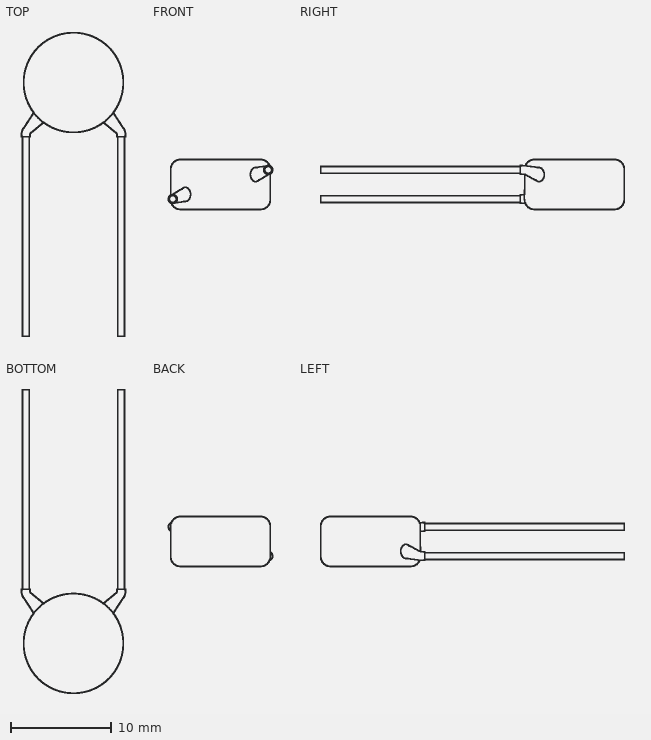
import cadquery as cq
import math

disc_diameter = 10.0
disc_height = 5.0
disc_edge_radius = 1.0
overall_length = 30.37

lead_diameter = 0.7
lead_offset_x = 4.77
lead_offset_z = 1.45

sleeve_tip_diameter = 0.88
sleeve_root_radius = 0.75
sleeve_root_inset = 0.45
sleeve_root_angle = 45.0
sleeve_root_z = 0.9
sleeve_corner_y = -4.95
bend_radius = 0.6
collar_end_y = -5.4

side_turns = [0, 180]

disc_radius = disc_diameter / 2
sleeve_tip_radius = sleeve_tip_diameter / 2
lead_end_y = disc_radius - overall_length
lead_direction = cq.Vector(0, -1, 0)
root_distance = disc_radius - sleeve_root_inset
root_angle = math.radians(sleeve_root_angle)
sleeve_root = cq.Vector(
    root_distance * math.sin(root_angle),
    -root_distance * math.cos(root_angle),
    sleeve_root_z,
)
sleeve_corner = cq.Vector(lead_offset_x, sleeve_corner_y, lead_offset_z)
cone_direction = (sleeve_corner - sleeve_root).normalized()
bend_angle = cone_direction.getAngle(lead_direction)
bend_setback = bend_radius * math.tan(bend_angle / 2)
bend_start = sleeve_corner - cone_direction * bend_setback
bend_end = sleeve_corner + lead_direction * bend_setback


def place(shape, turn):
    """Copy of a +X, +Z shape turned about Y by an angle in degrees."""
    return shape.rotate((0, 0, 0), (0, 1, 0), turn)


def make_disc():
    """Round coated disc with both rims rounded."""
    return (
        cq.Workplane("XY")
        .workplane(offset=-disc_height / 2)
        .circle(disc_radius)
        .extrude(disc_height)
        .faces("|Z")
        .edges()
        .fillet(disc_edge_radius)
    )


def make_sleeve_cone():
    """Taper that leaves the disc wall and narrows to the bend."""
    cone_length = (bend_start - sleeve_root).Length
    cone = cq.Solid.makeCone(
        sleeve_root_radius, sleeve_tip_radius, cone_length, sleeve_root, cone_direction
    )
    return cq.Workplane(cone)


def make_sleeve_bend():
    """Round elbow that turns from the cone axis to the lead axis."""
    hinge = cone_direction.cross(lead_direction).normalized()
    bend_centre = bend_end + hinge.cross(lead_direction) * bend_radius
    toward_centre = bend_centre - bend_start
    section = cq.Plane(origin=bend_start, xDir=toward_centre, normal=cone_direction)
    hinge_side = section.yDir.dot(hinge)
    return (
        cq.Workplane(section)
        .circle(sleeve_tip_radius)
        .revolve(math.degrees(bend_angle), (bend_radius, 0), (bend_radius, hinge_side))
    )


def make_sleeve_collar():
    """Short straight end of the sleeve around the lead axis."""
    collar_length = bend_end.y - collar_end_y
    collar = cq.Solid.makeCylinder(sleeve_tip_radius, collar_length, bend_end, lead_direction)
    return cq.Workplane(collar)


def make_housing():
    """Disc and its two sleeves as one coating."""
    sleeve = make_sleeve_cone().union(make_sleeve_bend()).union(make_sleeve_collar())
    coated = make_disc()
    for turn in side_turns:
        coated = coated.union(place(sleeve, turn))
    return coated


def make_lead():
    """Straight wire that starts at the end face of its sleeve."""
    lead_start = cq.Vector(lead_offset_x, collar_end_y, lead_offset_z)
    lead_length = collar_end_y - lead_end_y
    return cq.Solid.makeCylinder(lead_diameter / 2, lead_length, lead_start, lead_direction)


housing = make_housing()
leads = [place(make_lead(), turn) for turn in side_turns]

result = cq.Compound.makeCompound([housing.val(), *leads])